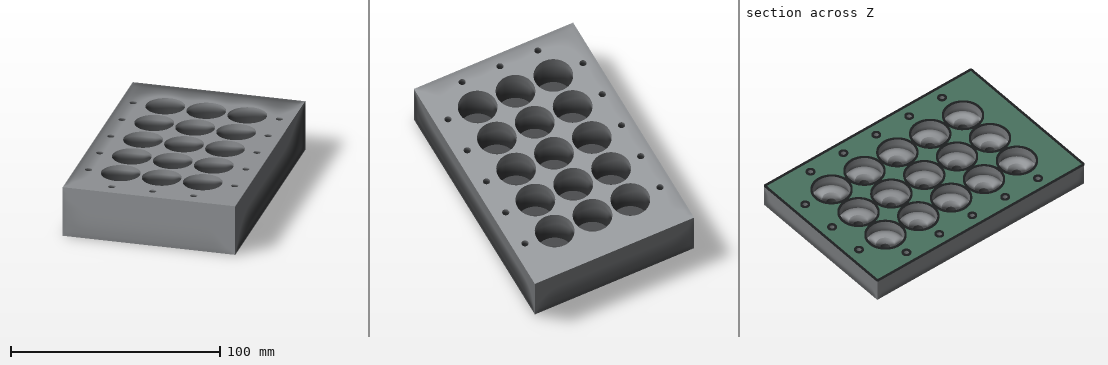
import cadquery as cq

block_width = 85.5
block_length = 127.8
block_height = 25.4

columns = 3
rows = 5
pitch = 20.3
well_diameter = 19.0
well_depth = 19.0
drain_diameter = 4.7
funnel_diameter = 8.8
funnel_depth = (funnel_diameter - drain_diameter) / 2

pin_hole_diameter = 3.5
side_hole_inset = 6.5
end_hole_inset = 6.9

well_floor = block_height - well_depth
side_hole_x = block_width / 2 - side_hole_inset
end_hole_y = end_hole_inset - block_length / 2


def centred_positions(count):
    """Evenly pitched coordinates, symmetric about zero."""
    return [(i - (count - 1) / 2) * pitch for i in range(count)]


def well_cutter():
    """Flat-floored well, conical funnel and drain, revolved about Z."""
    well_radius = well_diameter / 2
    funnel_radius = funnel_diameter / 2
    drain_radius = drain_diameter / 2
    return (
        cq.Workplane("XZ")
        .moveTo(0, 0)
        .lineTo(drain_radius, 0)
        .lineTo(drain_radius, well_floor - funnel_depth)
        .lineTo(funnel_radius, well_floor)
        .lineTo(well_radius, well_floor)
        .lineTo(well_radius, block_height)
        .lineTo(0, block_height)
        .close()
        .revolve(360, (0, 0), (0, 1))
    )


column_x = centred_positions(columns)
row_y = centred_positions(rows)

result = cq.Workplane("XY").box(block_width, block_length, block_height, centered=(True, True, False))

well = well_cutter()
for x in column_x:
    for y in row_y:
        result = result.cut(well.translate((x, y, 0)))

side_holes = [(side * side_hole_x, y) for side in (-1, 1) for y in row_y]
end_holes = [(x, end_hole_y) for x in column_x]
pin_holes = (
    cq.Workplane("XY")
    .pushPoints(side_holes + end_holes)
    .circle(pin_hole_diameter / 2)
    .extrude(block_height)
)
result = result.cut(pin_holes)